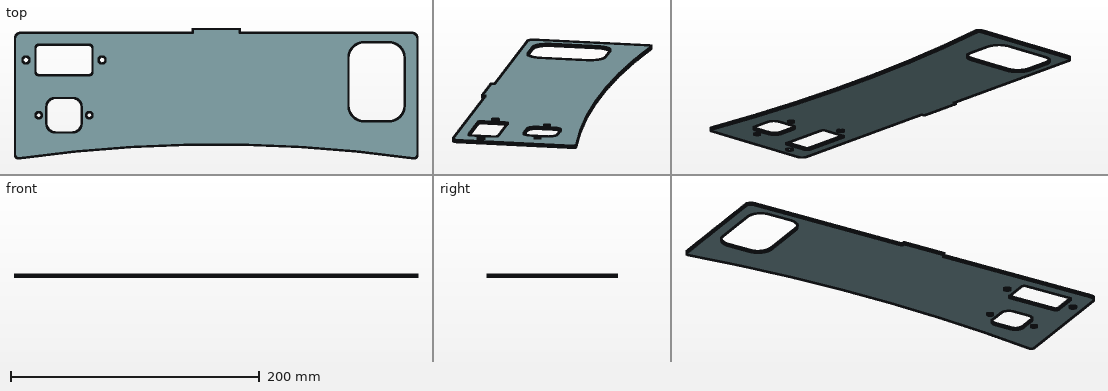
import cadquery as cq

length = 324.0
overall_depth = 104.5
thickness = 1.9
tab_width = 38.0
tab_height = 3.0
plate_top = overall_depth - tab_height
arch_rise = 11.7
corner_drop = 0.3
upper_corner_radius = 5.0
lower_corner_radius = 3.0

opening_x = -length / 2 + 39.5
connector_y = plate_top - 22.0
connector_size = (45.7, 24.3)
connector_radius = 2.5
connector_screw_pitch = 61.3
connector_screw_diameter = 5.5

socket_y = connector_y - 44.5
socket_size = (28.2, 27.5)
socket_radius = 7.0
socket_screw_pitch = 41.0
socket_screw_diameter = 5.0

window_x = length / 2 - 33.0
window_y = plate_top - 39.5
window_size = (45.0, 63.5)
window_radius = 12.5


def make_plate():
    """Plate with an arched lower edge, rounded corners and a tab on the upper edge."""
    half_length = length / 2
    tip_y = -corner_drop
    plate = (
        cq.Workplane("XY")
        .moveTo(-half_length, tip_y)
        .threePointArc((0, tip_y + arch_rise), (half_length, tip_y))
        .lineTo(half_length, plate_top)
        .lineTo(-half_length, plate_top)
        .close()
        .extrude(thickness)
    )
    plate = plate.edges("|Z and >Y").fillet(upper_corner_radius)
    plate = plate.edges("|Z and <Y").fillet(lower_corner_radius)

    tab = (
        cq.Workplane("XY")
        .center(0, plate_top)
        .rect(tab_width, 2 * tab_height)
        .extrude(thickness)
    )
    return plate.union(tab)


def rounded_opening(x, y, size, radius):
    """Cutter for a rectangular through opening with rounded corners."""
    return (
        cq.Workplane("XY")
        .center(x, y)
        .rect(*size)
        .extrude(thickness)
        .edges("|Z")
        .fillet(radius)
    )


def screw_pair(x, y, pitch, diameter):
    """Cutter for two screw holes, one on each side of an opening."""
    return (
        cq.Workplane("XY")
        .center(x, y)
        .pushPoints([(-pitch / 2, 0), (pitch / 2, 0)])
        .circle(diameter / 2)
        .extrude(thickness)
    )


cutters = [
    rounded_opening(opening_x, connector_y, connector_size, connector_radius),
    screw_pair(opening_x, connector_y, connector_screw_pitch, connector_screw_diameter),
    rounded_opening(opening_x, socket_y, socket_size, socket_radius),
    screw_pair(opening_x, socket_y, socket_screw_pitch, socket_screw_diameter),
    rounded_opening(window_x, window_y, window_size, window_radius),
]

result = make_plate()
for cutter in cutters:
    result = result.cut(cutter)